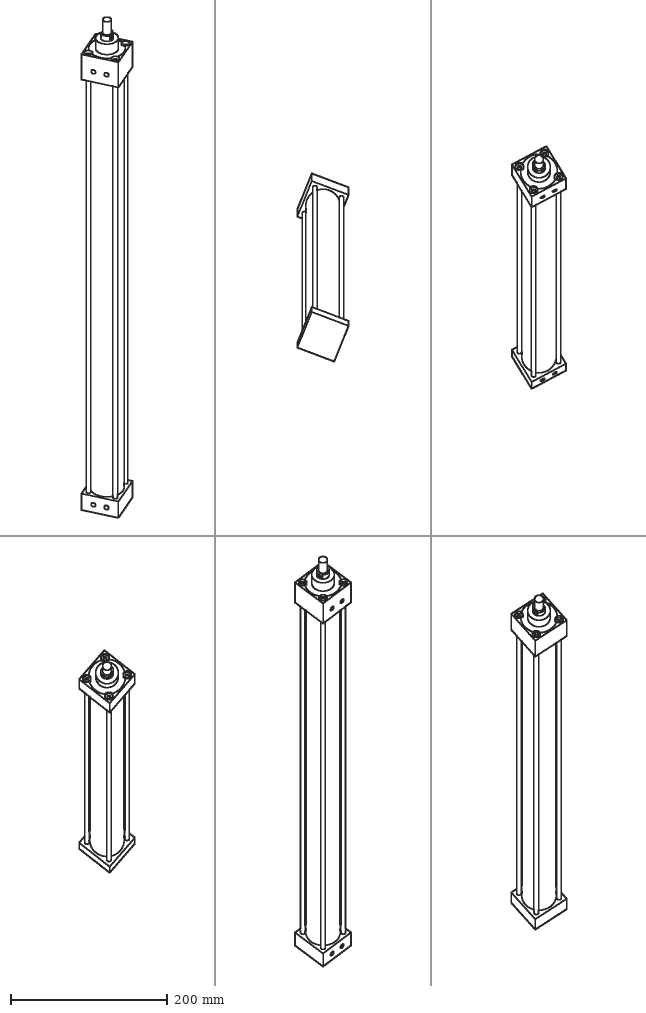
import cadquery as cq

TOTAL_HEIGHT = 746.0
BLOCK_SIDE = 51.0

CAP_TOP = 25.0
HEAD_BOTTOM = 663.0
HEAD_TOP = 702.0
COLLAR_TOP = 718.0
ROD_SHOULDER = 726.0

BARREL_DIAMETER = 44.0
TIE_ROD_DIAMETER = 6.0
TIE_ROD_PITCH = 36.5
COLLAR_DIAMETER = 29.0

FACE_RECESS_DIAMETER = 47.0
FACE_RECESS_DEPTH = 0.4

COUNTERBORE_DIAMETER = 10.5
COUNTERBORE_DEPTH = 4.5
SOCKET_DIAMETER = 4.85
SOCKET_DEPTH = 9.0

PORT_DIAMETER = 6.0
PORT_DEPTH = 7.5
PORT_CONE_DEPTH = 4.0
PORT_SPACING = 18.0
CAP_PORT_LEVEL = 12.0
HEAD_PORT_LEVEL = 679.0

ROD_DIAMETER = 16.5
THREAD_DIAMETER = 11.0
FLATS_WIDTH = 12.0
FLATS_HEIGHT = 5.0


def block(bottom, top):
    """Square end block between two levels."""
    return cq.Workplane("XY").workplane(offset=bottom).rect(BLOCK_SIDE, BLOCK_SIDE).extrude(top - bottom)


def cylinder(diameter, bottom, top):
    """Cylinder on the Z axis between two levels."""
    return cq.Workplane("XY").workplane(offset=bottom).circle(diameter / 2).extrude(top - bottom)


def corner_cylinders(diameter, bottom, top):
    """Four cylinders on the tie rod axes between two levels."""
    return (
        cq.Workplane("XY")
        .workplane(offset=bottom)
        .rect(TIE_ROD_PITCH, TIE_ROD_PITCH, forConstruction=True)
        .vertices()
        .circle(diameter / 2)
        .extrude(top - bottom)
    )


def port_hole(x, level):
    """Blind hole with a conical bottom, running inward from the -Y side."""
    side_y = -BLOCK_SIDE / 2
    radius = PORT_DIAMETER / 2
    straight = cq.Workplane("XZ", origin=(x, side_y, level)).circle(radius).extrude(-PORT_DEPTH)
    cone_start = cq.Vector(x, side_y + PORT_DEPTH, level)
    cone = cq.Solid.makeCone(radius, 0, PORT_CONE_DEPTH, pnt=cone_start, dir=cq.Vector(0, 1, 0))
    return straight.union(cq.Workplane(cone))


def make_head():
    """Head block with its face recess, stepped corner holes and collar."""
    recess_floor = HEAD_TOP - FACE_RECESS_DEPTH
    head = block(HEAD_BOTTOM, HEAD_TOP)
    head = head.cut(cylinder(FACE_RECESS_DIAMETER, recess_floor, HEAD_TOP))
    head = head.cut(corner_cylinders(COUNTERBORE_DIAMETER, HEAD_TOP - COUNTERBORE_DEPTH, HEAD_TOP))
    head = head.cut(corner_cylinders(SOCKET_DIAMETER, HEAD_TOP - SOCKET_DEPTH, HEAD_TOP))
    return head.union(cylinder(COLLAR_DIAMETER, recess_floor, COLLAR_TOP))


def make_housing():
    """Cap, barrel, tie rods and head, with the ports and the bore for the piston rod."""
    housing = block(0, CAP_TOP).union(make_head())
    housing = housing.union(cylinder(BARREL_DIAMETER, CAP_TOP, HEAD_BOTTOM))
    housing = housing.union(corner_cylinders(TIE_ROD_DIAMETER, CAP_TOP, HEAD_BOTTOM))
    for level in (CAP_PORT_LEVEL, HEAD_PORT_LEVEL):
        for x in (-PORT_SPACING / 2, PORT_SPACING / 2):
            housing = housing.cut(port_hole(x, level))
    return housing.cut(cylinder(ROD_DIAMETER, HEAD_BOTTOM, COLLAR_TOP))


def make_piston_rod():
    """Rod with two wrench flats facing -X and +X below its thinner threaded end, which is left smooth."""
    flats_bottom = ROD_SHOULDER - FLATS_HEIGHT
    rod = cylinder(ROD_DIAMETER, HEAD_BOTTOM, flats_bottom)
    flats = (
        cq.Workplane("XY")
        .workplane(offset=flats_bottom)
        .rect(FLATS_WIDTH, ROD_DIAMETER)
        .extrude(FLATS_HEIGHT)
        .intersect(cylinder(ROD_DIAMETER, flats_bottom, ROD_SHOULDER))
    )
    threaded_end = cylinder(THREAD_DIAMETER, ROD_SHOULDER, TOTAL_HEIGHT)
    return rod.union(flats).union(threaded_end)


housing = make_housing()
piston_rod = make_piston_rod()

result = cq.Compound.makeCompound([housing.solids().val(), piston_rod.solids().val()])